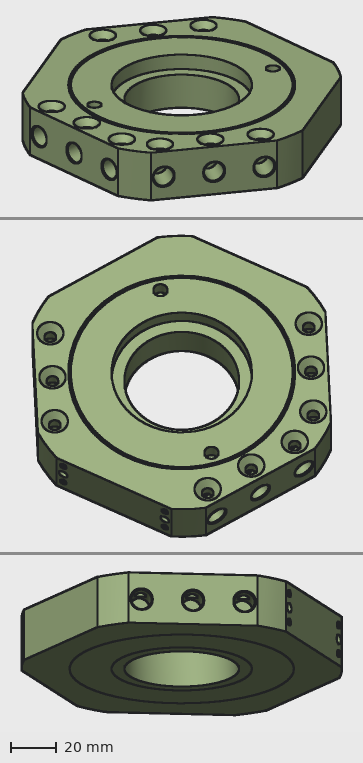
import cadquery as cq
import math

height = 23.1
across_flats = 128.0
corner_diameter = 139.9

disc_radius = 49.0
rim_chamfer = 0.5
counterbore_radius = 30.6
counterbore_depth = 7.0
bore_radius = 25.0
disc_hole_radius = 3.1
disc_hole_depth = 7.0
disc_hole_circle = 43.1
disc_hole_angles = (40, 225)

port_face_angles = (120, 240, 300)
port_spacing = 22.5
port_radius = 4.5
port_chamfer = 0.4
port_depth = 13.0
port_axis_z = 10.9
outlet_inset = 7.5
outlet_radius = 2.5
countersink_radius = 5.7

mount_face_angle = 180
mount_spacing = 50.0
mount_z = 11.9
pin_hole_radius = 2.1
pin_hole_depth = 11.2
screw_spacing = 13.0
screw_hole_radius = 1.1
screw_hole_chamfer = 0.4
screw_hole_depth = 8.4

apothem = across_flats / 2


def flat_plane(angle, z):
    """Plane on a flat: local x runs along the flat, local y is up, the normal points outward."""
    direction = math.radians(angle)
    outward = (math.cos(direction), math.sin(direction), 0)
    along = (-math.sin(direction), math.cos(direction), 0)
    origin = (apothem * outward[0], apothem * outward[1], z)
    return cq.Plane(origin=origin, xDir=along, normal=outward)


def top_plane(angle=0):
    """Plane on the top face, its local x turned by the angle."""
    return cq.Plane(origin=(0, 0, height)).rotated((0, 0, angle))


def drill(radius, depth, chamfer=0):
    """Flat-bottomed drill that cuts below local z = 0, with a 45 degree chamfer at the mouth."""
    shank = cq.Workplane("XY").circle(radius).extrude(-depth)
    if chamfer > 0:
        mouth = cq.Solid.makeCone(radius, radius + chamfer, chamfer, pnt=cq.Vector(0, 0, -chamfer))
        shank = shank.union(cq.Workplane(mouth))
    return shank.val()


def drill_holes(body, plane, places, tool):
    """Cut the tool into the body at each local place on the plane."""
    for x, y in places:
        spot = plane.location * cq.Location(cq.Vector(x, y, 0))
        body = body.cut(cq.Workplane(tool.moved(spot)))
    return body


def make_blank():
    """Hexagonal plate with flats facing +X and -X, its corners turned round."""
    across_corners = across_flats / math.cos(math.pi / 6)
    hexagon = cq.Workplane("XY").polygon(6, across_corners).extrude(height)
    hexagon = hexagon.rotate((0, 0, 0), (0, 0, 1), 30)
    corner_round = cq.Workplane("XY").circle(corner_diameter / 2).extrude(height)
    return hexagon.intersect(corner_round)


def cut_disc_seat(body):
    """Bore through the plate for the disc, chamfered at the top."""
    seat = drill(disc_radius, height, rim_chamfer)
    return drill_holes(body, top_plane(), [(0, 0)], seat)


def cut_ports(body):
    """Side ports, each met by a countersunk outlet from the top."""
    port = drill(port_radius, port_depth, port_chamfer)
    outlet = drill(outlet_radius, height - port_axis_z, countersink_radius - outlet_radius)
    outlet_offset = apothem - outlet_inset
    port_places = [(step * port_spacing, 0) for step in (-1, 0, 1)]
    outlet_places = [(outlet_offset, along) for along, _ in port_places]
    for angle in port_face_angles:
        body = drill_holes(body, flat_plane(angle, port_axis_z), port_places, port)
        body = drill_holes(body, top_plane(angle), outlet_places, outlet)
    return body


def cut_mounting_holes(body):
    """Two columns on the -X flat: a pin hole between two screw holes."""
    pin_places = [(side * mount_spacing / 2, 0) for side in (-1, 1)]
    screw_places = [(along, end * screw_spacing / 2) for along, _ in pin_places for end in (-1, 1)]
    pin_hole = drill(pin_hole_radius, pin_hole_depth)
    screw_hole = drill(screw_hole_radius, screw_hole_depth, screw_hole_chamfer)
    left_flat = flat_plane(mount_face_angle, mount_z)
    body = drill_holes(body, left_flat, pin_places, pin_hole)
    return drill_holes(body, left_flat, screw_places, screw_hole)


def make_housing():
    housing = cut_disc_seat(make_blank())
    housing = cut_ports(housing)
    return cut_mounting_holes(housing)


def make_disc():
    """Full-height disc with a chamfered top rim and two blind locating holes."""
    disc = cq.Workplane("XY").circle(disc_radius).extrude(height)
    disc = disc.faces(">Z").edges().chamfer(rim_chamfer)
    disc = disc.cut(cq.Workplane("XY").circle(counterbore_radius).extrude(height))
    hole = drill(disc_hole_radius, disc_hole_depth)
    for angle in disc_hole_angles:
        disc = drill_holes(disc, top_plane(angle), [(disc_hole_circle, 0)], hole)
    return disc


def make_centre_ring():
    """Ring in the disc bore that forms the counterbore floor."""
    ring_height = height - counterbore_depth
    return cq.Workplane("XY").circle(counterbore_radius).circle(bore_radius).extrude(ring_height)


housing = make_housing()
disc = make_disc()
centre_ring = make_centre_ring()
result = cq.Compound.makeCompound([housing.val(), disc.val(), centre_ring.val()])